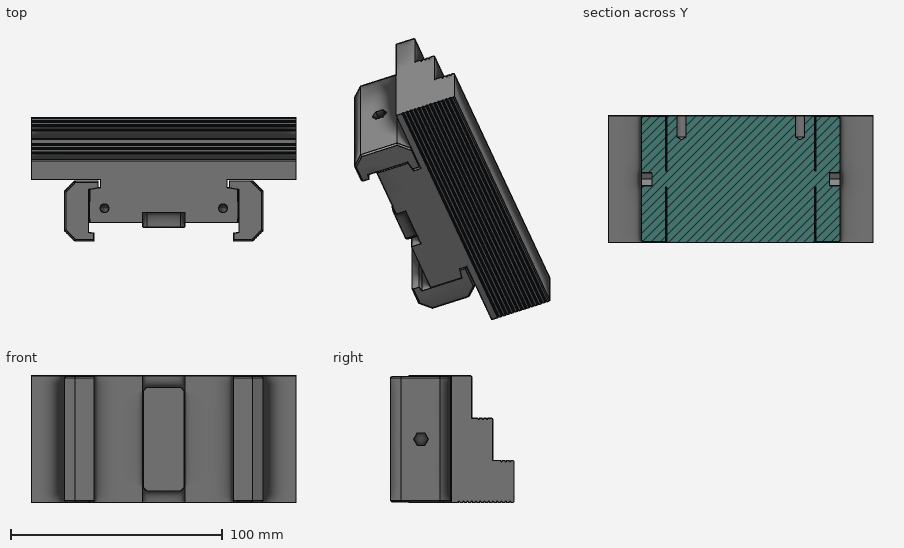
import cadquery as cq
import math


LENGTH = 125.0
HEIGHT = 60.0
TOTAL_DEPTH = 58.5
REAR_Y = 29.5
STEP_COUNT = 3
STEP_DEPTH = 10.0
STEP_HEIGHT = HEIGHT / STEP_COUNT
EDGE_CHAMFER = 0.6

GROOVE_WIDTH = 1.0
GROOVE_FLOOR = 0.25
GROOVE_DEPTH = 0.6
GROOVE_PITCH = 2.0
BASE_GROOVE_COUNT = 13
STEP_GROOVE_COUNT = 3
LOWER_GROOVE_SETBACK = 2.0
UPPER_GROOVE_SETBACK = 2.8

NECK_HALF = 35.0
NECK_FRONT_Y = -20.3
HOOK_ANGLE = 10.0
HOOK_SLOPE = math.tan(math.radians(HOOK_ANGLE))
UNDERCUT_X = 30.0
UNDERCUT_Y = -3.7
HOLE_DIAMETER = 4.13
HOLE_X = 28.0
HOLE_Y = -13.5
HOLE_DEPTH = 10.0
DRILL_POINT_ANGLE = 118.0

SLOT_WIDTH = 20.0
SLOT_DEPTH = 4.8
KEY_THICKNESS = 7.0
KEY_HEIGHT = 49.0
KEY_CORNER = 2.0
KEY_EDGE = 0.4

CLAMP_BACK_GAP = 0.5
CLAMP_END_GAP = 0.35
CLAMP_OUTER_X = 47.0
CLAMP_INNER_X = 35.5
CLAMP_FRONT_Y = REAR_Y - TOTAL_DEPTH
CLAMP_BEVEL = 5.0
CLAMP_CHAMFER = 0.75
HOOK_TIP_X = 31.0
LIP_TIP_X = 33.0
LIP_THICKNESS = 3.7

SCREW_DIAMETER = 8.0
SCREW_Y = -14.5
SCREW_Z = HEIGHT / 2
SOCKET_SIDES = 6
SOCKET_FLATS = 6.0
SOCKET_DEPTH = 5.0


def undercut_y(x):
    """Y of the sloped undercut flank at distance x from the mirror plane."""
    return UNDERCUT_Y - (x - UNDERCUT_X) * HOOK_SLOPE


def make_stepped_jaw():
    jaw = None
    for step in range(STEP_COUNT):
        depth = REAR_Y - step * STEP_DEPTH
        tier = cq.Workplane("XY").box(LENGTH, depth, (step + 1) * STEP_HEIGHT, centered=(True, False, False))
        tier = tier.edges("|X and >Y and >Z").chamfer(EDGE_CHAMFER)
        jaw = tier if jaw is None else jaw.union(tier)
    return jaw.edges("|X and >Y and <Z").chamfer(EDGE_CHAMFER)


def cut_groove_row(body, first_y, z, count, inward):
    """Cut grooves into a horizontal face at height z; inward is the Z sense into the material."""
    floor_z = z + inward * GROOVE_DEPTH
    for index in range(count):
        y = first_y - index * GROOVE_PITCH
        corners = [
            (y - GROOVE_WIDTH / 2, z),
            (y - GROOVE_FLOOR / 2, floor_z),
            (y + GROOVE_FLOOR / 2, floor_z),
            (y + GROOVE_WIDTH / 2, z),
        ]
        groove = cq.Workplane("YZ").polyline(corners).close().extrude(LENGTH / 2, both=True)
        body = body.cut(groove)
    return body


def cut_grooves(body):
    lower_y = REAR_Y - LOWER_GROOVE_SETBACK
    upper_y = REAR_Y - STEP_DEPTH - UPPER_GROOVE_SETBACK
    body = cut_groove_row(body, lower_y, 0, BASE_GROOVE_COUNT, 1)
    body = cut_groove_row(body, lower_y, STEP_HEIGHT, STEP_GROOVE_COUNT, -1)
    return cut_groove_row(body, upper_y, 2 * STEP_HEIGHT, STEP_GROOVE_COUNT, -1)


def make_neck():
    outline = [
        (0, 0),
        (UNDERCUT_X, 0),
        (UNDERCUT_X, undercut_y(UNDERCUT_X)),
        (NECK_HALF, undercut_y(NECK_HALF)),
        (NECK_HALF, NECK_FRONT_Y),
        (SLOT_WIDTH / 2, NECK_FRONT_Y),
        (SLOT_WIDTH / 2, NECK_FRONT_Y + SLOT_DEPTH),
        (0, NECK_FRONT_Y + SLOT_DEPTH),
    ]
    half = cq.Workplane("XY").polyline(outline).close().extrude(HEIGHT)
    half = half.cut(make_drilled_hole())
    return half.union(half.mirror("YZ"))


def make_drilled_hole():
    """Blind hole from the top face, ending in a drill point."""
    radius = HOLE_DIAMETER / 2
    point_length = radius / math.tan(math.radians(DRILL_POINT_ANGLE / 2))
    outline = [(0, 0), (radius, 0), (radius, -HOLE_DEPTH), (0, -HOLE_DEPTH - point_length)]
    hole = cq.Workplane("XZ").polyline(outline).close().revolve(360, (0, 0), (0, 1))
    return hole.translate((HOLE_X, HOLE_Y, HEIGHT))


def make_key():
    key = cq.Workplane("XY").box(SLOT_WIDTH, KEY_THICKNESS, KEY_HEIGHT, centered=(True, False, True))
    key = key.edges("|Y").chamfer(KEY_CORNER)
    key = key.edges("|Z and <Y").chamfer(KEY_EDGE)
    return key.translate((0, NECK_FRONT_Y + SLOT_DEPTH - KEY_THICKNESS, HEIGHT / 2))


def make_clamp(chamfer_back):
    """Clamp on the +X side, chamfered at both ends along its outward faces, the back face being optional."""
    back_y = -CLAMP_BACK_GAP
    lip_y = CLAMP_FRONT_Y + LIP_THICKNESS
    lip_root_y = lip_y + (CLAMP_INNER_X - LIP_TIP_X) * HOOK_SLOPE
    outline = [
        (HOOK_TIP_X, back_y),
        (CLAMP_OUTER_X - CLAMP_BEVEL, back_y),
        (CLAMP_OUTER_X, back_y - CLAMP_BEVEL),
        (CLAMP_OUTER_X, CLAMP_FRONT_Y + CLAMP_BEVEL),
        (CLAMP_OUTER_X - CLAMP_BEVEL, CLAMP_FRONT_Y),
        (LIP_TIP_X, CLAMP_FRONT_Y),
        (LIP_TIP_X, lip_y),
        (CLAMP_INNER_X, lip_root_y),
        (CLAMP_INNER_X, undercut_y(CLAMP_INNER_X)),
        (HOOK_TIP_X, undercut_y(HOOK_TIP_X)),
    ]
    clamp_height = HEIGHT - 2 * CLAMP_END_GAP
    clamp = cq.Workplane("XY", origin=(0, 0, CLAMP_END_GAP)).polyline(outline).close().extrude(clamp_height)
    middle_y = (back_y + CLAMP_FRONT_Y) / 2
    outer_middle_x = CLAMP_OUTER_X - CLAMP_BEVEL / 2
    hook_middle_x = (HOOK_TIP_X + CLAMP_OUTER_X - CLAMP_BEVEL) / 2
    lip_middle_x = (LIP_TIP_X + CLAMP_OUTER_X - CLAMP_BEVEL) / 2
    outward_edges = [
        (outer_middle_x, back_y - CLAMP_BEVEL / 2),
        (CLAMP_OUTER_X, middle_y),
        (outer_middle_x, CLAMP_FRONT_Y + CLAMP_BEVEL / 2),
        (lip_middle_x, CLAMP_FRONT_Y),
    ]
    if chamfer_back:
        outward_edges.append((hook_middle_x, back_y))
    end_edges = cq.Workplane("XY")
    for z in (CLAMP_END_GAP, HEIGHT - CLAMP_END_GAP):
        for x, y in outward_edges:
            edge = clamp.edges(cq.NearestToPointSelector((x, y, z))).val()
            end_edges = end_edges.add(edge)
    chamfered = clamp.val().chamfer(CLAMP_CHAMFER, None, end_edges.vals())
    return cq.Workplane(chamfered)


def make_screw():
    """Screw shank bridging the gap between neck and clamp on the +X side."""
    shank = cq.Workplane("YZ", origin=(NECK_HALF, SCREW_Y, SCREW_Z))
    return shank.circle(SCREW_DIAMETER / 2).extrude(CLAMP_INNER_X - NECK_HALF)


def make_socket():
    """Hexagon socket in the outer face of the +X clamp, two flats horizontal."""
    across_corners = SOCKET_FLATS / math.cos(math.pi / SOCKET_SIDES)
    socket = cq.Workplane("YZ", origin=(CLAMP_OUTER_X, SCREW_Y, SCREW_Z))
    return socket.polygon(SOCKET_SIDES, across_corners).extrude(-SOCKET_DEPTH)


def make_clamp_assembly(chamfer_back):
    return make_clamp(chamfer_back).cut(make_socket()).union(make_screw())


body = cut_grooves(make_stepped_jaw().union(make_neck())).union(make_key())
right_clamp = make_clamp_assembly(chamfer_back=False)
left_clamp = make_clamp_assembly(chamfer_back=True).mirror("YZ")
result = body.union(right_clamp).union(left_clamp)